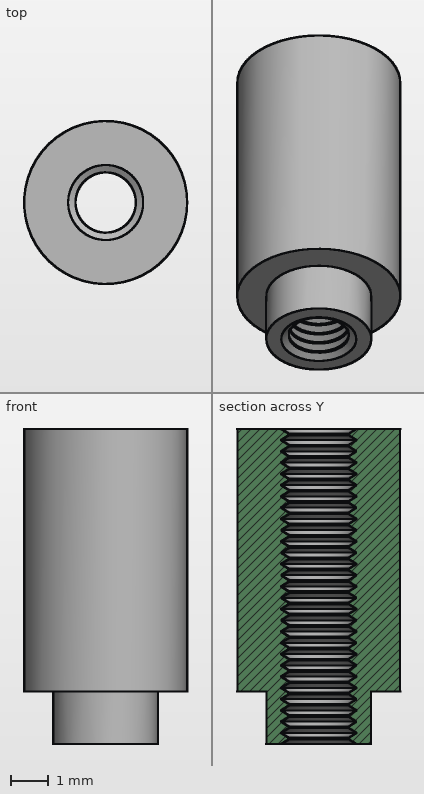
import cadquery as cq

body_diameter = 4.35
shank_diameter = 2.8
total_height = 8.4
shank_height = 1.4
crest_diameter = 1.6
root_diameter = 2.0
thread_pitch = 0.3
crest_height = 0.05

crest_radius = crest_diameter / 2
root_radius = root_diameter / 2
flank_height = (thread_pitch - crest_height) / 2
thread_count = round(total_height / thread_pitch)


def make_standoff():
    """Round body standing on a narrower shank, with the shank's end face at Z = 0."""
    shank = cq.Workplane("XY").circle(shank_diameter / 2).extrude(shank_height)
    body = (
        cq.Workplane("XY", origin=(0, 0, shank_height))
        .circle(body_diameter / 2)
        .extrude(total_height - shank_height)
    )
    return shank.union(body)


def make_threaded_bore():
    """Through bore with level ring teeth; each end opens in half a V groove."""
    outline = [(0, 0), (root_radius, 0)]
    for tooth in range(thread_count):
        tooth_bottom = tooth * thread_pitch
        tooth_top = tooth_bottom + thread_pitch
        outline += [
            (crest_radius, tooth_bottom + flank_height),
            (crest_radius, tooth_top - flank_height),
            (root_radius, tooth_top),
        ]
    outline.append((0, total_height))
    return cq.Workplane("XZ").polyline(outline).close().revolve(360, (0, 0, 0), (0, 1, 0))


result = make_standoff().cut(make_threaded_bore())